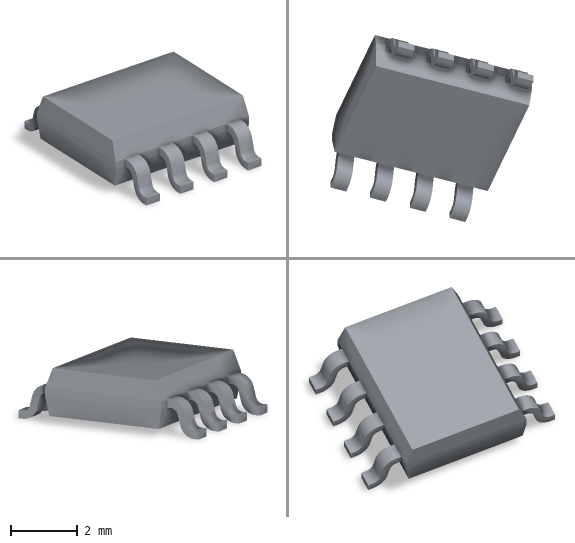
import cadquery as cq
import math


span_x = 6.2
housing_y = 5.0
total_height = 1.75

lead_thickness = 0.255
lead_width = 0.5
lead_pitch = 1.27
leads_per_side = 4
shoulder_length = 0.14
leg_angle = math.radians(75)
inner_bend = 0.25
outer_bend = inner_bend + lead_thickness

housing_x = 4.0
housing_bottom = lead_thickness
band_height = lead_thickness
cap_height = (total_height - housing_bottom - band_height) / 2
band_bottom = housing_bottom + cap_height
band_top = band_bottom + band_height
top_inset_x = 0.235
bottom_inset_x = 0.11
inset_y = 0.05

mark_diameter = 0.2
mark_depth = 0.05
mark_x = -1.33
mark_y = 1.905


def make_cap(start_z, end_z, inset_x):
    """Tapered block from the full waist at start_z to the smaller face at end_z."""
    return (
        cq.Workplane("XY")
        .workplane(offset=start_z)
        .rect(housing_x, housing_y)
        .workplane(offset=end_z - start_z)
        .rect(housing_x - 2 * inset_x, housing_y - 2 * inset_y)
        .loft(ruled=True)
    )


def make_mark():
    """Round disc set flush into the top face."""
    return (
        cq.Workplane("XY")
        .workplane(offset=total_height - mark_depth)
        .center(mark_x, mark_y)
        .circle(mark_diameter / 2)
        .extrude(mark_depth)
    )


def make_housing():
    """Upright waist band with a tapered cap above and below, recessed for the mark."""
    band = (
        cq.Workplane("XY")
        .workplane(offset=band_bottom)
        .rect(housing_x, housing_y)
        .extrude(band_height)
    )
    upper_cap = make_cap(band_top, total_height, top_inset_x)
    lower_cap = make_cap(band_bottom, housing_bottom, bottom_inset_x)
    return band.union(upper_cap).union(lower_cap).cut(make_mark())


def make_lead(side, y):
    """Gull-wing lead centred on y, on the +X (side = 1) or -X (side = -1) face."""
    shoulder_x = housing_x / 2 + shoulder_length
    shoulder_z = band_top - outer_bend
    foot_z = outer_bend
    bend_gap = outer_bend + inner_bend
    leg_drop = shoulder_z - foot_z + bend_gap * math.cos(leg_angle)
    foot_x = shoulder_x + bend_gap * math.sin(leg_angle) + leg_drop / math.tan(leg_angle)

    def on_shoulder(radius, angle):
        return (side * (shoulder_x + radius * math.sin(angle)), shoulder_z + radius * math.cos(angle))

    def on_foot(radius, angle):
        return (side * (foot_x - radius * math.sin(angle)), foot_z - radius * math.cos(angle))

    root_x = side * housing_x / 2
    tip_x = side * span_x / 2
    half_angle = leg_angle / 2
    return (
        cq.Workplane("XZ", origin=(0, y + lead_width / 2, 0))
        .moveTo(root_x, band_top)
        .lineTo(*on_shoulder(outer_bend, 0))
        .threePointArc(on_shoulder(outer_bend, half_angle), on_shoulder(outer_bend, leg_angle))
        .lineTo(*on_foot(inner_bend, leg_angle))
        .threePointArc(on_foot(inner_bend, half_angle), on_foot(inner_bend, 0))
        .lineTo(tip_x, lead_thickness)
        .lineTo(tip_x, 0)
        .lineTo(*on_foot(outer_bend, 0))
        .threePointArc(on_foot(outer_bend, half_angle), on_foot(outer_bend, leg_angle))
        .lineTo(*on_shoulder(inner_bend, leg_angle))
        .threePointArc(on_shoulder(inner_bend, half_angle), on_shoulder(inner_bend, 0))
        .lineTo(root_x, band_bottom)
        .close()
        .extrude(lead_width)
    )


housing = make_housing()
mark = make_mark()

leads = []
for side in (-1, 1):
    for index in range(leads_per_side):
        lead_y = (index - (leads_per_side - 1) / 2) * lead_pitch
        leads.append(make_lead(side, lead_y).val())

result = cq.Compound.makeCompound([housing.val(), mark.val(), *leads])